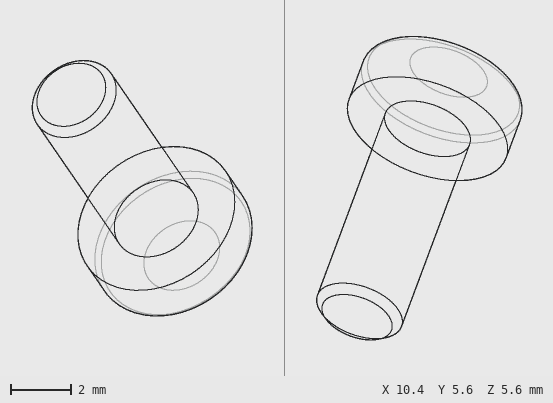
import cadquery as cq

total_length = 10.4
head_height = 2.4
shank_length = total_length - head_height

shank_radius = 3.0 / 2
tip_chamfer = 0.27

head_radius = 5.6 / 2
rim_height = 1.6
shoulder_height = 1.82
shoulder_radius = 2.65
shoulder_bulge = 0.04
crown_radius = 1.35
dome_bulge = 0.06


def revolve_about_x(profile):
    """Turn a closed half profile in the XY plane about the X axis."""
    return profile.close().revolve(360, (0, 0, 0), (1, 0, 0))


def make_shank():
    """Plain cylindrical shank with a chamfered tip, ending under the head."""
    return revolve_about_x(
        cq.Workplane("XY")
        .moveTo(-shank_length, 0)
        .lineTo(-shank_length, shank_radius - tip_chamfer)
        .lineTo(-shank_length + tip_chamfer, shank_radius)
        .lineTo(0, shank_radius)
        .lineTo(0, 0)
    )


def make_head():
    """Flat-bottomed head with a rounded rim and a shallow, flat-topped dome."""
    return revolve_about_x(
        cq.Workplane("XY")
        .moveTo(0, 0)
        .lineTo(0, head_radius)
        .lineTo(rim_height, head_radius)
        .sagittaArc((shoulder_height, shoulder_radius), shoulder_bulge)
        .sagittaArc((head_height, crown_radius), dome_bulge)
        .lineTo(head_height, 0)
    )


shank = make_shank()
head = make_head()

result = cq.Compound.makeCompound([shank.val(), head.val()])